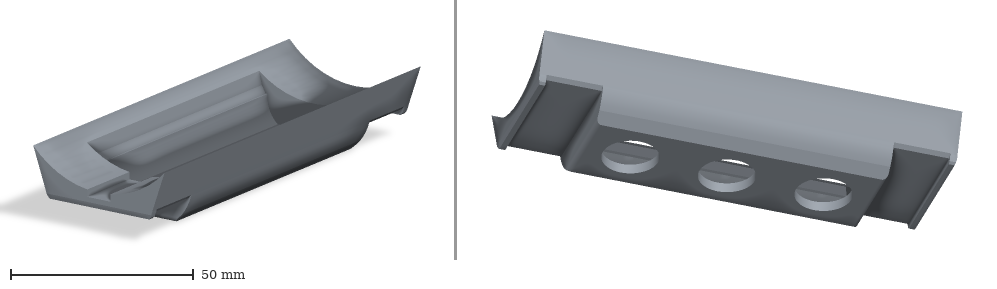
import cadquery as cq
import math

LENGTH = 121.0
HEIGHT = 20.6
HALF_WIDTH = 22.0
SADDLE_RADIUS = 30.0

SHOULDER_X = 17.9
SHOULDER_Z = 8.7
BELLY_X = 16.7
BELLY_Z = 5.6
KEEL_X = 14.9
KEEL_Z = 2.8
BASE_X = 12.1

KEEL_LENGTH = 84.2
KEEL_FILLET = 1.5
LIP_THICKNESS = 2.0
LIP_Z = 6.2
LIP_CHAMFER_DEPTH = 0.4
LIP_CHAMFER_HEIGHT = 1.5
RECESS_Z = 7.9
RECESS_BEVEL = 0.7
LIP_BEVEL = 0.4

POCKET_LENGTH = 81.3
POCKET_TOP_X = 18.2
POCKET_KINK_X = 17.2
POCKET_KINK_Z = 13.2
LEDGE_OUTER_X = 16.0
LEDGE_INNER_X = 15.2
LEDGE_Z = 11.0
POCKET_BELLY_X = 14.4
POCKET_BELLY_Z = 6.0
FLOOR_X = 11.9
FLOOR_Z = 2.9
HOLE_DIAMETER = 16.0
HOLE_SPACING = 28.0
HOLE_COUNT = 3
NOTCH_WIDTH = 7.7
NOTCH_Z = 9.1

SADDLE_AXIS_Z = HEIGHT + math.sqrt(SADDLE_RADIUS**2 - HALF_WIDTH**2)
SADDLE_BOTTOM_Z = SADDLE_AXIS_Z - SADDLE_RADIUS


def extrude_along_y(profile, length):
    """Extrude an XZ profile symmetrically about Y = 0."""
    return profile.extrude(length / 2, both=True)


def body():
    """Keel-shaped bar with a concave cylindrical top."""
    profile = (
        cq.Workplane("XZ")
        .moveTo(-HALF_WIDTH, HEIGHT)
        .threePointArc((0, SADDLE_BOTTOM_Z), (HALF_WIDTH, HEIGHT))
        .lineTo(SHOULDER_X, SHOULDER_Z)
        .threePointArc((BELLY_X, BELLY_Z), (KEEL_X, KEEL_Z))
        .lineTo(BASE_X, 0)
        .lineTo(-BASE_X, 0)
        .lineTo(-KEEL_X, KEEL_Z)
        .threePointArc((-BELLY_X, BELLY_Z), (-SHOULDER_X, SHOULDER_Z))
        .close()
    )
    return extrude_along_y(profile, LENGTH)


def side_envelope():
    """Lengthwise outline that steps the underside and chamfers the lips."""
    end_y = LENGTH / 2
    lip_y = end_y - LIP_THICKNESS
    keel_y = KEEL_LENGTH / 2
    half_outline = [
        (keel_y, 0),
        (keel_y, RECESS_Z),
        (lip_y, RECESS_Z),
        (lip_y, LIP_Z),
        (end_y - LIP_CHAMFER_DEPTH, LIP_Z),
        (end_y, LIP_Z + LIP_CHAMFER_HEIGHT),
        (end_y, HEIGHT),
    ]
    mirrored = [(-y, z) for y, z in reversed(half_outline)]
    outline = cq.Workplane("YZ").polyline(half_outline + mirrored).close()
    envelope = outline.extrude(HALF_WIDTH, both=True)
    return envelope.faces("<Z").edges("|X").fillet(KEEL_FILLET)


def flank_x(z):
    """Half width of the outer flank on its arc between keel and shoulder."""
    arc = cq.Edge.makeThreePointArc(
        cq.Vector(SHOULDER_X, 0, SHOULDER_Z),
        cq.Vector(BELLY_X, 0, BELLY_Z),
        cq.Vector(KEEL_X, 0, KEEL_Z),
    )
    center = arc.arcCenter()
    return center.x + math.sqrt(arc.radius() ** 2 - (z - center.z) ** 2)


def edge_bevels(bottom_z, width, start_y, end_y):
    """Cutters for 45-degree bevels on both long lower edges of a step between two Y positions."""
    edge_x = flank_x(bottom_z)
    top_x = HALF_WIDTH
    top_z = bottom_z + top_x - edge_x + width
    cutters = cq.Workplane("XY")
    for side in (-1, 1):
        triangle = [
            (side * (edge_x - width), bottom_z),
            (side * top_x, bottom_z),
            (side * top_x, top_z),
        ]
        bar = cq.Workplane("XZ", origin=(0, start_y, 0)).polyline(triangle).close()
        cutters = cutters.add(bar.extrude(start_y - end_y))
    return cutters.combine()


def pocket():
    """Trough with sloping upper walls, a narrow ledge and curved lower walls."""
    slope = (POCKET_TOP_X - POCKET_KINK_X) / (
        SADDLE_AXIS_Z - math.sqrt(SADDLE_RADIUS**2 - POCKET_TOP_X**2) - POCKET_KINK_Z
    )
    top_x = POCKET_KINK_X + slope * (HEIGHT - POCKET_KINK_Z)
    profile = (
        cq.Workplane("XZ")
        .moveTo(-top_x, HEIGHT)
        .lineTo(top_x, HEIGHT)
        .lineTo(POCKET_KINK_X, POCKET_KINK_Z)
        .lineTo(LEDGE_OUTER_X, LEDGE_Z)
        .lineTo(LEDGE_INNER_X, LEDGE_Z)
        .threePointArc((POCKET_BELLY_X, POCKET_BELLY_Z), (FLOOR_X, FLOOR_Z))
        .lineTo(-FLOOR_X, FLOOR_Z)
        .threePointArc((-POCKET_BELLY_X, POCKET_BELLY_Z), (-LEDGE_INNER_X, LEDGE_Z))
        .lineTo(-LEDGE_OUTER_X, LEDGE_Z)
        .lineTo(-POCKET_KINK_X, POCKET_KINK_Z)
        .close()
    )
    return extrude_along_y(profile, POCKET_LENGTH)


def floor_holes():
    """Row of round holes through the pocket floor."""
    return (
        cq.Workplane("XY")
        .rarray(1.2, HOLE_SPACING, 1, HOLE_COUNT)
        .circle(HOLE_DIAMETER / 2)
        .extrude(HEIGHT)
    )


def front_notch():
    """Flat-bottomed channel from the -Y end into the pocket."""
    return cq.Workplane("XY", origin=(0, -LENGTH / 2, NOTCH_Z)).box(
        NOTCH_WIDTH, LENGTH / 2, HEIGHT - NOTCH_Z, centered=(True, False, False)
    )


result = (
    body()
    .intersect(side_envelope())
    .cut(pocket())
    .cut(floor_holes())
    .cut(front_notch())
)

for end in (-1, 1):
    keel_end = end * KEEL_LENGTH / 2
    lip_inner = end * (LENGTH / 2 - LIP_THICKNESS)
    lip_outer = end * LENGTH / 2
    result = result.cut(edge_bevels(RECESS_Z, RECESS_BEVEL, keel_end, lip_inner))
    result = result.cut(edge_bevels(LIP_Z, LIP_BEVEL, lip_inner, lip_outer))